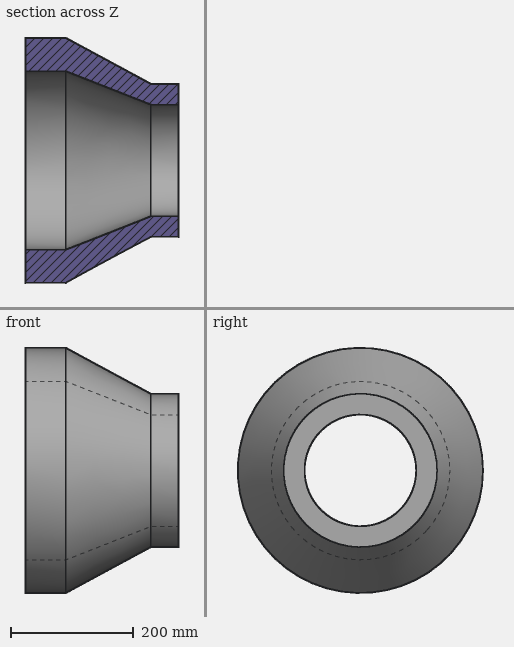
import cadquery as cq

total_length = 250.0
wide_length = 66.0
neck_length = 45.0
neck_start = total_length - neck_length

wide_radius = 400 / 2
neck_radius = 250.0 / 2
wide_bore_radius = 291.0 / 2
neck_bore_radius = 181.5 / 2

half_section = (
    cq.Workplane("XY")
    .moveTo(0, wide_bore_radius)
    .lineTo(0, wide_radius)
    .lineTo(wide_length, wide_radius)
    .lineTo(neck_start, neck_radius)
    .lineTo(total_length, neck_radius)
    .lineTo(total_length, neck_bore_radius)
    .lineTo(neck_start, neck_bore_radius)
    .lineTo(wide_length, wide_bore_radius)
    .close()
)

result = half_section.revolve(360, (0, 0, 0), (1, 0, 0))